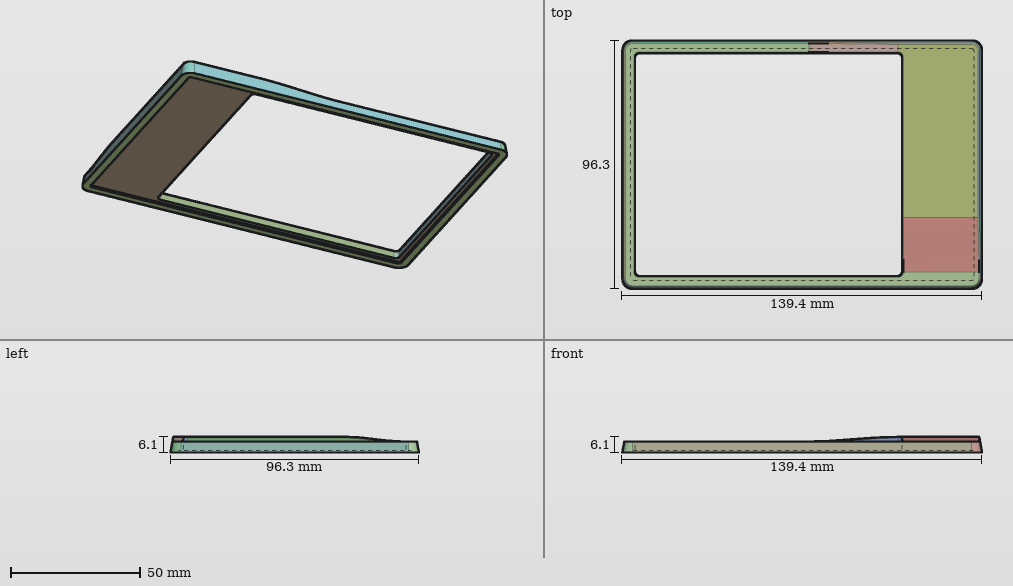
import cadquery as cq

length = 139.4
width = 96.3
raised_height = 6.1
rail_height = 4.3

draft_angle = 10.0
outer_corner_radius = 4.0

top_edge_radius = 0.5

window_left = -64.7
window_right = 38.6
window_width = 86.1
window_corner_radius = 1.5

recess_depth = 0.8
skirt_width = 3.2
recess_corner_radius = outer_corner_radius - skirt_width

long_ramp_start = 2.6
long_ramp_end = window_right - window_corner_radius
short_ramp_start = window_corner_radius - window_width / 2
short_ramp_end = -20.5
ramp_easing = 0.33

margin = 7.0
reach = length / 2 + margin


def rounded_rectangle(size_x, size_y, corner_radius, center_x=0):
    """Sketch on the base plane of a rectangle with rounded corners."""
    return (
        cq.Workplane("XY")
        .center(center_x, 0)
        .sketch()
        .rect(size_x, size_y)
        .vertices()
        .fillet(corner_radius)
        .finalize()
    )


def tapered_block():
    """Plate whose outer walls lean inward toward the top."""
    outline = rounded_rectangle(length, width, outer_corner_radius)
    return outline.extrude(raised_height, taper=draft_angle)


def height_profile(plane, ramp_start, ramp_end):
    """Side outline extruded across the part: low rail, S-shaped ramp, raised pad.

    The ramp easing is the share of the ramp's run over which each end levels out.
    """
    handle = ramp_easing * (ramp_end - ramp_start)
    ramp = [
        (ramp_start, rail_height),
        (ramp_start + handle, rail_height),
        (ramp_end - handle, raised_height),
        (ramp_end, raised_height),
    ]
    return (
        cq.Workplane(plane)
        .moveTo(-reach, -margin)
        .lineTo(-reach, rail_height)
        .lineTo(ramp_start, rail_height)
        .bezier(ramp)
        .lineTo(reach, raised_height)
        .lineTo(reach, -margin)
        .close()
        .extrude(reach, both=True)
    )


def window_cutter():
    """Straight opening through the full height."""
    center_x = (window_left + window_right) / 2
    outline = rounded_rectangle(
        window_right - window_left, window_width, window_corner_radius, center_x
    )
    return outline.extrude(raised_height)


def recess_cutter():
    """Shallow pocket in the underside, concentric with the outer wall."""
    outline = rounded_rectangle(
        length - 2 * skirt_width, width - 2 * skirt_width, recess_corner_radius
    )
    return outline.extrude(recess_depth)


slack = 0.1
rim_band = 2.1
rim_bottom = rail_height - slack
above_walls = cq.selectors.BoxSelector((-reach, -reach, rim_bottom), (reach, reach, reach))
inside_rim = cq.selectors.BoxSelector(
    (rim_band - length / 2, rim_band - width / 2, rim_bottom),
    (length / 2 - rim_band, width / 2 - rim_band, reach),
)
window_rim = cq.selectors.BoxSelector(
    (window_left - slack, -window_width / 2 - slack, rim_bottom),
    (window_right + slack, window_width / 2 + slack, reach),
)

plate = tapered_block()
plate = plate.intersect(height_profile("XZ", long_ramp_start, long_ramp_end))
plate = plate.intersect(height_profile("YZ", short_ramp_start, short_ramp_end))
plate = plate.edges(above_walls - inside_rim).fillet(top_edge_radius)
plate = plate.cut(window_cutter())
plate = plate.edges(window_rim).fillet(top_edge_radius)
result = plate.cut(recess_cutter())